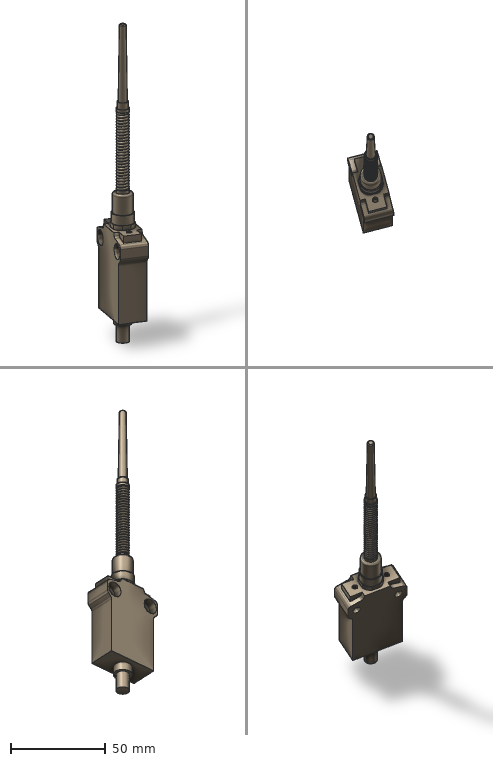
import cadquery as cq


total_height = 178.1
housing_bottom = 15.0
housing_top = 64.3
head_top = 83.7

housing_width = 29.5
housing_depth = 16.0
block_depth = 10.2
lug_span = 35.0
lug_corner_z = 59.7
lug_bottom_z = 51.6
shoulder_x = 8.5
shoulder_z = 61.8
neck_x = 7.7
lug_round = 2.1
inner_round = 1.6

mount_spacing = 25.0
mount_z = 55.2
mount_diameter = 4.3
counterbore_diameter = 8.5
counterbore_depth = 5.0
top_hole_spacing = 18.9
top_hole_diameter = 2.8
top_hole_depth = 5.3

cable_diameter = 7.1
gland_diameter = 10.0
gland_length = 4.8

base_diameter = 12.5
base_height = 8.2
foot_diameter = 13.4
across_flats = 12.5
flats_height = 2.7
barrel_diameter = 11.2
barrel_round = 1.0

coil_bottom = 85.5
coil_top = 129.1
collar_top = 130.9
ferrule_top = 134.6
coil_diameter = 7.0
wire_diameter = 1.5
coil_pitch = 1.62
coil_end_depth = wire_diameter / 2
core_clearance = 0.09
core_diameter = coil_diameter - 2 * wire_diameter - 2 * core_clearance
collar_diameter = 7.1
ferrule_diameter = 6.0
rod_base_diameter = 5.0
rod_tip_diameter = 3.7
rod_tip_chamfer = 0.5


def disc(diameter, bottom, top):
    """Upright cylinder on the Z axis."""
    return cq.Workplane("XY", origin=(0, 0, bottom)).circle(diameter / 2).extrude(top - bottom)


def slab(outline, depth):
    """XZ outline extruded symmetrically about the plane y = 0."""
    return cq.Workplane("XZ").polyline(outline).close().extrude(depth / 2, both=True)


def round_edges(solid, x, z, radius):
    """Round the mirrored pair of edges along Y that pass through (-x, z) and (x, z)."""
    for side in (-1, 1):
        edge = cq.selectors.NearestToPointSelector((side * x, 0, z))
        solid = solid.edges("|Y").edges(edge).fillet(radius)
    return solid


def make_housing():
    side_x = housing_width / 2
    lug_x = lug_span / 2
    lug_foot_z = lug_bottom_z - (lug_x - side_x)
    right_side = [
        (side_x, housing_bottom),
        (side_x, lug_foot_z),
        (lug_x, lug_bottom_z),
        (lug_x, lug_corner_z),
        (shoulder_x, shoulder_z),
        (neck_x, housing_top),
    ]
    left_side = [(-x, z) for x, z in reversed(right_side)]
    body = slab(right_side + left_side, housing_depth)
    body = round_edges(body, side_x, lug_foot_z, inner_round)
    body = round_edges(body, lug_x, lug_bottom_z, lug_round)
    body = round_edges(body, lug_x, lug_corner_z, lug_round)
    body = round_edges(body, shoulder_x, shoulder_z, inner_round)

    block_height = housing_top - housing_bottom
    block = (
        cq.Workplane("XY", origin=(0, 0, housing_bottom))
        .rect(housing_width, block_depth)
        .extrude(block_height)
    )
    body = body.union(block)

    body = (
        cq.Workplane("XZ", origin=(0, -housing_depth / 2, mount_z))
        .add(body)
        .rarray(mount_spacing, 1.8, 2, 1)
        .cboreHole(mount_diameter, counterbore_diameter, counterbore_depth)
    )
    return (
        body.faces(">Z")
        .workplane(origin=(0, 0, housing_top))
        .rarray(top_hole_spacing, 1.8, 2, 1)
        .hole(top_hole_diameter, top_hole_depth)
    )


def make_cable():
    cable = disc(cable_diameter, 0, housing_bottom)
    return cable.union(disc(gland_diameter, housing_bottom - gland_length, housing_bottom))


def make_head():
    base_top = housing_top + base_height
    base = disc(base_diameter, housing_top + flats_height, base_top)
    square = (
        cq.Workplane("XY", origin=(0, 0, housing_top))
        .rect(across_flats, across_flats)
        .extrude(flats_height)
    )
    foot = disc(foot_diameter, housing_top, housing_top + flats_height).intersect(square)
    barrel = disc(barrel_diameter, base_top, head_top).faces(">Z").edges().fillet(barrel_round)
    return base.union(foot).union(barrel)


def make_coil():
    """Helical wire with both ends buried in the neck and the collar."""
    path_radius = (coil_diameter - wire_diameter) / 2
    start_z = coil_bottom - coil_end_depth
    height = coil_top - coil_bottom + 2 * coil_end_depth
    path = cq.Wire.makeHelix(coil_pitch, height, path_radius, center=cq.Vector(0, 0, start_z))
    return (
        cq.Workplane("XZ", origin=(0, 0, start_z))
        .center(path_radius, 0)
        .circle(wire_diameter / 2)
        .sweep(cq.Workplane(obj=path), isFrenet=True)
    )


def make_rod():
    return (
        cq.Workplane("XY", origin=(0, 0, ferrule_top))
        .circle(rod_base_diameter / 2)
        .workplane(offset=total_height - ferrule_top)
        .circle(rod_tip_diameter / 2)
        .loft()
        .faces(">Z")
        .chamfer(rod_tip_chamfer)
    )


def make_operator():
    neck = disc(collar_diameter, head_top, coil_bottom)
    core = disc(core_diameter, coil_bottom, coil_top)
    collar = disc(collar_diameter, coil_top, collar_top)
    ferrule = disc(ferrule_diameter, collar_top, ferrule_top)
    stem = neck.union(core).union(collar).union(ferrule).union(make_rod())
    return stem.union(make_coil(), clean=False)


housing = make_housing()
cable = make_cable()
head = make_head()
operator = make_operator()

bodies = [housing, cable, head, operator]
result = cq.Compound.makeCompound([body.solids().val() for body in bodies])